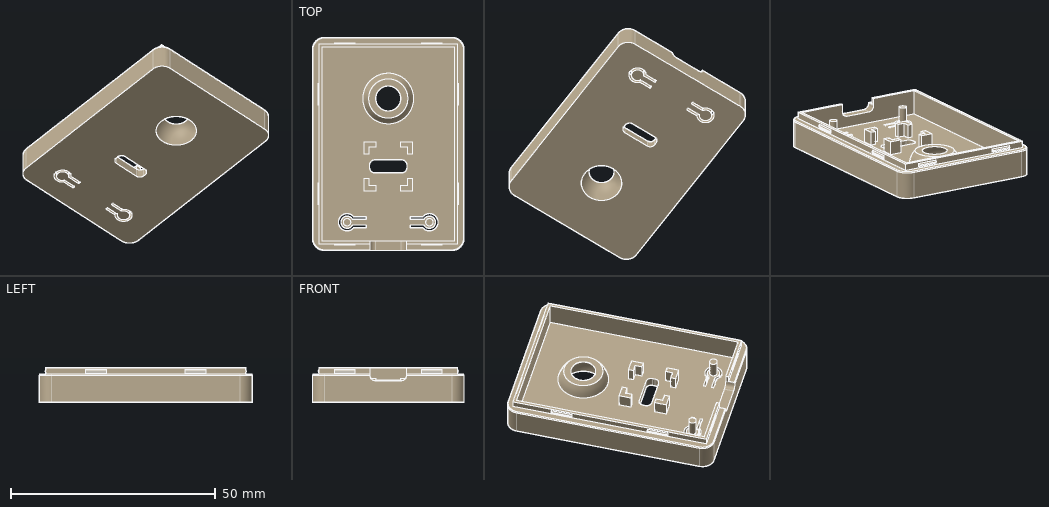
import cadquery as cq
import math

LENGTH = 52.15
WIDTH = 37.15
BODY_HEIGHT = 6.9
CORNER_RADIUS = 2.95
EDGE_CHAMFER_INSET = 0.15
EDGE_CHAMFER_HEIGHT = 0.3

TOTAL_HEIGHT = 8.5
LIP_INSET = 1.6
LIP_WALL = 0.75
FLOOR = 2.5
LIP_WIDTH = WIDTH - 2 * LIP_INSET
LIP_LENGTH = LENGTH - 2 * LIP_INSET
CAVITY_WIDTH = LIP_WIDTH - 2 * LIP_WALL
CAVITY_LENGTH = LIP_LENGTH - 2 * LIP_WALL

RIDGE_HEIGHT = 0.8
RIDGE_DEPTH = 0.2
RIDGE_Z = 7.6
END_RIDGE_LENGTH = 5.0
END_RIDGE_X = 10.65
SIDE_RIDGE_LENGTH = 5.2
SIDE_RIDGE_Y = 12.15

NOTCH_WIDTH = 8.95
NOTCH_BOTTOM = 5.25
NOTCH_RADIUS = 1.35

DOME_Y = 11.1
DOME_TOP = 5.4
DOME_BASE_RADIUS = 6.2
DOME_TOP_RADIUS = 4.8
DOME_HOLE_RADIUS = 3.0

WINDOW_Y = -5.5
WINDOW_WIDTH = 9.1
WINDOW_LENGTH = 3.15
WINDOW_RADIUS = 1.25
POST_SPAN = 11.95
POST_ARM = 2.95
POST_THICKNESS = 1.25
POST_TOP = 5.8

TAB_X = 10.05
TAB_Y = -19.15
TAB_RADIUS = 1.5
TAB_GAP = 0.55
TAB_ARM_WIDTH = 1.45
TAB_REACH = 4.65
PIN_DIAMETER = 1.8
PIN_TOP = 6.6


def block(width, length, bottom, top, x=0.0, y=0.0):
    """Upright box centred on (x, y) between two heights."""
    return cq.Workplane("XY", origin=(x, y, bottom)).rect(width, length).extrude(top - bottom)


def cylinder(radius, bottom, top, x, y):
    """Upright cylinder centred on (x, y) between two heights."""
    return cq.Workplane("XY", origin=(x, y, bottom)).circle(radius).extrude(top - bottom)


def make_shell():
    """Rounded box with a square lip and an open rectangular cavity."""
    body = block(WIDTH, LENGTH, 0, BODY_HEIGHT)
    body = body.edges("|Z").fillet(CORNER_RADIUS)
    body = body.faces(">Z").chamfer(EDGE_CHAMFER_HEIGHT, EDGE_CHAMFER_INSET)
    lip = block(LIP_WIDTH, LIP_LENGTH, FLOOR, TOTAL_HEIGHT)
    cavity = block(CAVITY_WIDTH, CAVITY_LENGTH, FLOOR, TOTAL_HEIGHT)
    return body.union(lip).cut(cavity)


def make_ridge(length, face_distance):
    """Triangular snap ridge along X, on a lip face at -face_distance in Y."""
    half_height = RIDGE_HEIGHT / 2
    profile = [
        (-face_distance, RIDGE_Z - half_height),
        (-face_distance - RIDGE_DEPTH, RIDGE_Z),
        (-face_distance, RIDGE_Z + half_height),
    ]
    return cq.Workplane("YZ").polyline(profile).close().extrude(length / 2, both=True)


def add_ridges(part):
    """Two snap ridges on each of the four lip faces."""
    for side in (-1, 1):
        end_ridge = make_ridge(END_RIDGE_LENGTH, LIP_LENGTH / 2).translate((side * END_RIDGE_X, 0, 0))
        side_ridge = make_ridge(SIDE_RIDGE_LENGTH, LIP_WIDTH / 2).translate((side * SIDE_RIDGE_Y, 0, 0))
        for ridge, first_angle in ((end_ridge, 0), (side_ridge, 90)):
            for angle in (first_angle, first_angle + 180):
                part = part.union(ridge.rotate((0, 0, 0), (0, 0, 1), angle))
    return part


def make_notch():
    """Round-bottomed notch through the front wall and lip."""
    depth = (LENGTH - CAVITY_LENGTH) / 2
    notch = block(NOTCH_WIDTH, depth, NOTCH_BOTTOM, TOTAL_HEIGHT, 0, (depth - LENGTH) / 2)
    return notch.faces("<Z").edges("|Y").fillet(NOTCH_RADIUS)


def add_dome(part):
    """Truncated spherical dome, hollowed by a concentric sphere open at top and bottom."""
    rise = DOME_TOP - FLOOR
    radius_change = (DOME_BASE_RADIUS**2 - DOME_TOP_RADIUS**2) / rise
    centre_z = (DOME_TOP + FLOOR - radius_change) / 2
    outer_radius = math.hypot(DOME_TOP_RADIUS, DOME_TOP - centre_z)
    inner_radius = math.hypot(DOME_HOLE_RADIUS, DOME_TOP - centre_z)
    centre = (0, DOME_Y, centre_z)
    slab_size = 3 * outer_radius
    dome = cq.Workplane("XY").sphere(outer_radius).translate(centre)
    dome = dome.intersect(block(slab_size, slab_size, FLOOR / 2, DOME_TOP, 0, DOME_Y))
    hollow = cq.Workplane("XY").sphere(inner_radius).translate(centre)
    return part.union(dome).cut(hollow)


def add_posts(part):
    """Four L-shaped posts at the corners of a square."""
    pocket_span = POST_SPAN - 2 * POST_THICKNESS
    gap = POST_SPAN - 2 * POST_ARM
    posts = block(POST_SPAN, POST_SPAN, FLOOR, POST_TOP)
    posts = posts.cut(block(pocket_span, pocket_span, FLOOR, POST_TOP))
    posts = posts.cut(block(POST_SPAN, gap, FLOOR, POST_TOP))
    posts = posts.cut(block(gap, POST_SPAN, FLOOR, POST_TOP))
    return part.union(posts.translate((0, WINDOW_Y, 0)))


def make_window():
    """Rounded window through the floor."""
    return block(WINDOW_WIDTH, WINDOW_LENGTH, 0, FLOOR, 0, WINDOW_Y).edges("|Z").fillet(WINDOW_RADIUS)


def add_spring_tab(part, side):
    """Keyhole gap around a tab that points outward, with a pin on the tab's round end."""
    x = side * TAB_X
    arm_x = x - side * TAB_REACH / 2
    slot_width = TAB_ARM_WIDTH + 2 * TAB_GAP
    opening = cylinder(TAB_RADIUS + TAB_GAP, 0, FLOOR, x, TAB_Y)
    opening = opening.union(block(TAB_REACH, slot_width, 0, FLOOR, arm_x, TAB_Y))
    tab = cylinder(TAB_RADIUS, 0, FLOOR, x, TAB_Y)
    tab = tab.union(block(TAB_REACH, TAB_ARM_WIDTH, 0, FLOOR, arm_x, TAB_Y))
    pin = cylinder(PIN_DIAMETER / 2, FLOOR / 2, PIN_TOP, x, TAB_Y)
    return part.cut(opening.cut(tab)).union(pin)


result = add_ridges(make_shell())
result = result.cut(make_notch())
result = add_dome(result)
result = add_posts(result)
result = result.cut(make_window())
for tab_side in (-1, 1):
    result = add_spring_tab(result, tab_side)